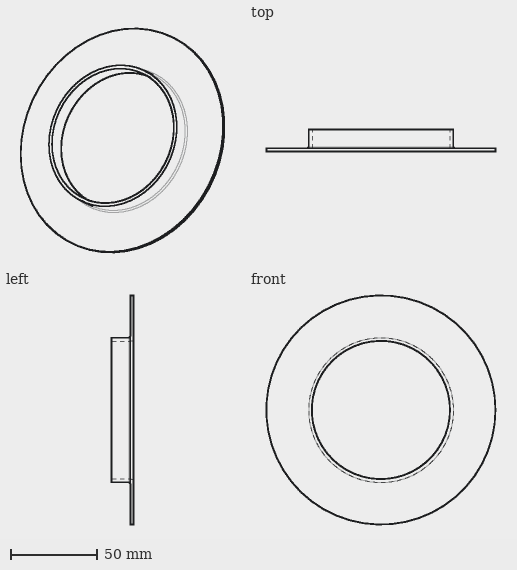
import cadquery as cq

flange_diameter = 133.0
bore_diameter = 80.0
wall = 2.0
overall_length = 13.0
mouth_radius = 2.0
root_radius = 1.0

flange_r = flange_diameter / 2
bore_r = bore_diameter / 2
collar_r = bore_r + wall


def ring_profile():
    """Half section in the XY plane; the flange face lies on Y = 0."""
    return (
        cq.Workplane("XY")
        .moveTo(bore_r + mouth_radius, 0)
        .lineTo(flange_r, 0)
        .lineTo(flange_r, wall)
        .lineTo(collar_r + root_radius, wall)
        .radiusArc((collar_r, wall + root_radius), root_radius)
        .lineTo(collar_r, overall_length)
        .lineTo(bore_r, overall_length)
        .lineTo(bore_r, mouth_radius)
        .radiusArc((bore_r + mouth_radius, 0), -mouth_radius)
        .close()
    )


result = ring_profile().revolve(360, (0, 0, 0), (0, 1, 0))